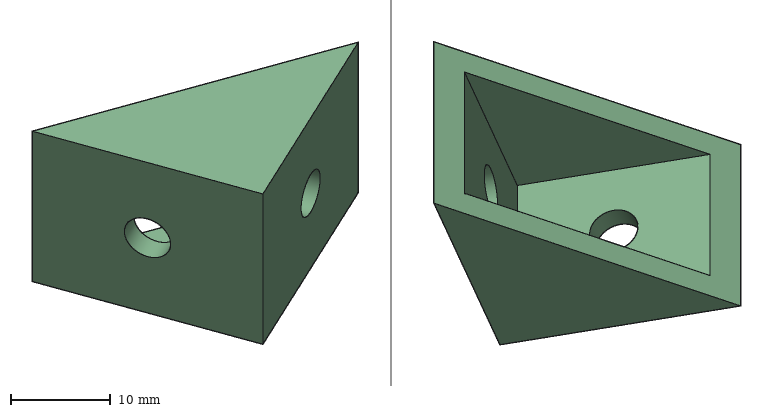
import cadquery as cq

leg = 25
height = 20
wall = 2.5
hole_diameter = 5


def triangular_prism(start, end, bottom, top):
    """Prism with its right angle at (end, start) and its slope on the plane y = x."""
    outline = [(start, start), (end, start), (end, end)]
    return cq.Workplane("XY").workplane(offset=bottom).polyline(outline).close().extrude(top - bottom)


body = triangular_prism(0, leg, 0, height)
pocket = triangular_prism(wall, leg - wall, wall, height - wall)

hole_radius = hole_diameter / 2
front_hole = cq.Solid.makeCylinder(
    hole_radius, wall, cq.Vector(leg / 2, 0, height / 2), cq.Vector(0, 1, 0)
)
side_hole = cq.Solid.makeCylinder(
    hole_radius, wall, cq.Vector(leg - wall, leg / 2, height / 2), cq.Vector(1, 0, 0)
)

result = body.cut(pocket).cut(front_hole).cut(side_hole)